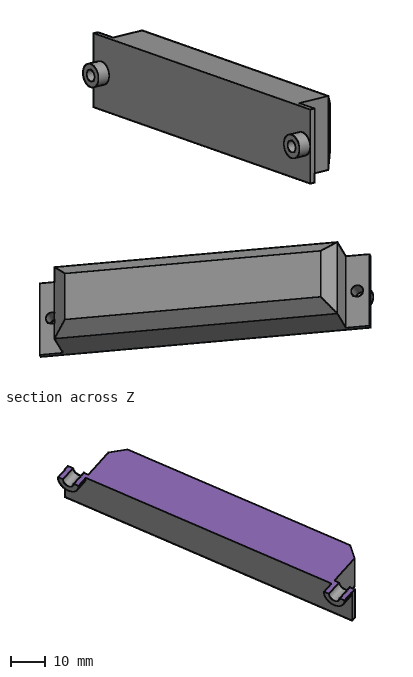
import cadquery as cq

plate_length = 96.9
height = 22.2
plate_thickness = 1.6

total_depth = 20.4
boss_length = 4.0
housing_length = 83.1
housing_bevel = 4.0
housing_depth = total_depth - boss_length - plate_thickness

boss_diameter = 7.0
hole_diameter = 3.5
hole_spacing = 89.7
boss_centers = [(-hole_spacing / 2, 0), (hole_spacing / 2, 0)]


def make_plate():
    """Plate with its front face on Y = 0."""
    return cq.Workplane("XY").box(
        plate_length, plate_thickness, height, centered=(True, False, True)
    )


def make_housing():
    """Solid block on the rear of the plate, bevelled on all four rear edges."""
    block = cq.Workplane("XY").box(
        housing_length, housing_depth, height, centered=(True, False, True)
    )
    return block.faces(">Y").edges().chamfer(housing_bevel).translate((0, plate_thickness, 0))


def make_front_cylinders(diameter, start_y, length):
    """Cylinders at both screw positions, running toward -Y from start_y."""
    plane = cq.Workplane("XZ", origin=(0, start_y, 0))
    return plane.pushPoints(boss_centers).circle(diameter / 2).extrude(length)


bosses = make_front_cylinders(boss_diameter, 0, boss_length)
screw_holes = make_front_cylinders(hole_diameter, plate_thickness, plate_thickness + boss_length)

result = make_plate().union(bosses).cut(screw_holes).union(make_housing())